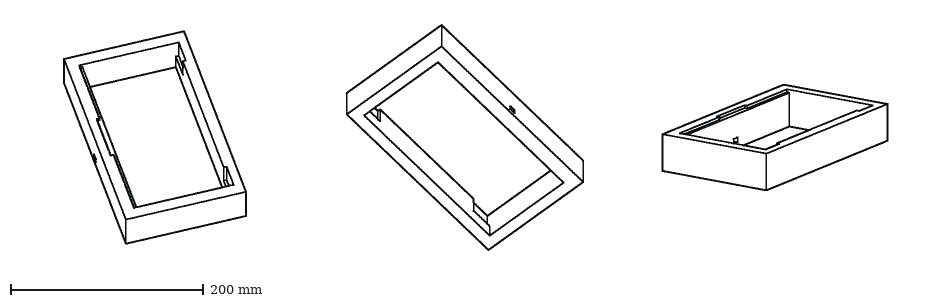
import cadquery as cq

LENGTH = 225.5
WIDTH = 130.5
HEIGHT = 40.0
WALL = 12.8

CORNER_RECESS_DEPTH = 22.0
RECESS_STEP = 3.2
CORNER_RECESS_LENGTH = 25.5
CENTER_RECESS_LENGTH = 51.2
LEDGE_WIDTH = RECESS_STEP
LEDGE_DEPTH = RECESS_STEP

PORT_WIDTH = 7.0
PORT_HEIGHT = 5.2
PORT_BOTTOM = 6.0

INNER_LENGTH = LENGTH - 2 * WALL
INNER_BACK = WIDTH / 2 - WALL
INNER_FRONT = -WIDTH / 2 + WALL
CORNER_FLOOR = HEIGHT - CORNER_RECESS_DEPTH
LEDGE_TOP = HEIGHT - LEDGE_DEPTH
LEDGE_BACK = INNER_FRONT + LEDGE_WIDTH


def box_between(x_min, x_max, y_min, y_max, z_min, z_max):
    """Return an axis-aligned box spanning the given limits."""
    size = (x_max - x_min, y_max - y_min, z_max - z_min)
    return cq.Workplane("XY", origin=(x_min, y_min, z_min)).box(*size, centered=False)


def centered_box(length, y_min, y_max, z_min, z_max):
    """Return a box centred on X."""
    return box_between(-length / 2, length / 2, y_min, y_max, z_min, z_max)


def make_frame():
    """Rectangular frame with a full-length ledge along the front wall."""
    body = centered_box(LENGTH, -WIDTH / 2, WIDTH / 2, 0, HEIGHT)
    opening = centered_box(INNER_LENGTH, LEDGE_BACK, INNER_BACK, 0, HEIGHT)
    above_ledge = centered_box(INNER_LENGTH, INNER_FRONT, LEDGE_BACK, LEDGE_TOP, HEIGHT)
    return body.cut(opening).cut(above_ledge)


def cut_corner_recesses(frame):
    """Cut a shallow recess into the back wall at each inner corner."""
    inner_side = INNER_LENGTH / 2
    recess_end = inner_side - CORNER_RECESS_LENGTH
    for x_min, x_max in ((-inner_side, -recess_end), (recess_end, inner_side)):
        recess = box_between(
            x_min, x_max, INNER_BACK, INNER_BACK + RECESS_STEP, CORNER_FLOOR, HEIGHT
        )
        frame = frame.cut(recess)
    return frame


def cut_center_recess(frame):
    """Cut a recess into the middle of the front wall, level with the ledge."""
    recess = centered_box(
        CENTER_RECESS_LENGTH, INNER_FRONT - RECESS_STEP, INNER_FRONT, LEDGE_TOP, HEIGHT
    )
    return frame.cut(recess)


def cut_port(frame):
    """Cut the port through the front wall and its ledge."""
    port_top = PORT_BOTTOM + PORT_HEIGHT
    port = centered_box(PORT_WIDTH, -WIDTH / 2, LEDGE_BACK, PORT_BOTTOM, port_top)
    return frame.cut(port)


result = cut_port(cut_center_recess(cut_corner_recesses(make_frame())))